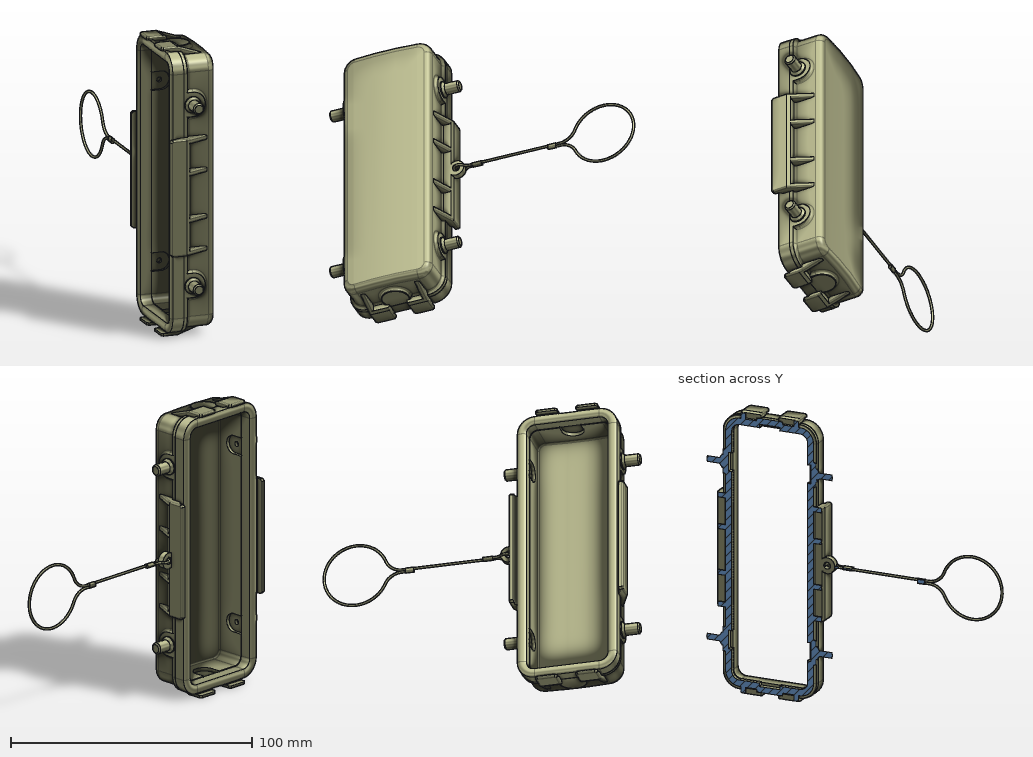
import math

import cadquery as cq


OVERALL_LENGTH = 135.67
OVERALL_DEPTH = 22.29

TOLERANCE = 0.01

FRAME_STEP = 0.1
FRAME_HALF_X = 21.45
FRAME_HALF_Z = 60.2
FRAME_BACK_Y = 5.6
FLANGE_HALF_X = FRAME_HALF_X - FRAME_STEP
FLANGE_HALF_Z = FRAME_HALF_Z - FRAME_STEP
FLANGE_STEP = 1.5
FLANGE_BACK_Y = 7.2
SHELL_HALF_X = FLANGE_HALF_X - FLANGE_STEP
SHELL_HALF_Z = FLANGE_HALF_Z - FLANGE_STEP
SHELL_CORNER = 6.0
FLANGE_CORNER = SHELL_CORNER + FLANGE_STEP
FRAME_CORNER = FLANGE_CORNER + FRAME_STEP
ROOT_FILLET = 1.2
CROWN_Y = 21.0
CROWN_RADIUS = 145.0
CROWN_EDGE_FILLET = 3.0

RIM_WIDTH = 3.9
RIM_BULGE = 0.7
FLOOR_THICKNESS = 2.0
FLOOR_FILLET = 0.7
OPENING_HALF_X = FRAME_HALF_X - RIM_WIDTH
OPENING_HALF_Z = FRAME_HALF_Z - RIM_WIDTH
OPENING_CORNER = FRAME_CORNER - RIM_WIDTH
OPENING_STEP = 0.3
CAVITY_HALF_X = OPENING_HALF_X - OPENING_STEP
CAVITY_HALF_Z = OPENING_HALF_Z - OPENING_STEP
CAVITY_CORNER = OPENING_CORNER - OPENING_STEP

BOSS_Y = 9.8
PIN_BOSS_RADIUS = 5.3
END_BOSS_RADIUS = 5.9
END_DISC_RADIUS = 5.7
END_DISC_RISE = 0.1
RECESS_DEPTH = 1.5
RECESS_INSET = 1.3
PIN_Y = 9.5
PIN_Z = 39.0
PIN_DIAMETER = 4.8
PIN_TIP_X = 29.05
PIN_TIP_CHAMFER = 0.6
COLLAR_DIAMETER = 7.0
COLLAR_LENGTH = 1.5
PIN_CENTER_DIAMETER = 2.1
PIN_CENTER_DEPTH = 1.5

LATCH_TIP_Y = CROWN_Y - OVERALL_DEPTH
LATCH_KNEE_Y = 5.8
LATCH_BACK_Y = 7.3
LATCH_ROOT_Y = 3.0
LATCH_THROAT_Y = 1.3
RIB_START_Y = 16.3
RIB_WIDTH = 2.3
RIB_ROOT_DEPTH = 1.0
LATCH_EDGE_FILLET = 0.6
SIDE_LATCH_OUTER = 24.55
SIDE_LATCH_THICKNESS = 1.9
SIDE_LATCH_HALF_LENGTH = 25.1
SIDE_RIB_INNER_Z = 8.9
END_LATCH_OUTER = 62.2
END_LATCH_THICKNESS = 1.25
END_LATCH_INNER_X = 4.0
END_LATCH_OUTER_X = 13.3
LATCH_TIP_CHAMFER = 0.9

ROPE_DIAMETER = 1.0
ROPE_RADIUS = ROPE_DIAMETER / 2
ROPE_Y = 7.0
EYELET_X = -26.2
EYELET_DIAMETER = 7.0
EYELET_HOLE = 3.0
EYELET_FRONT_Y = 4.6
EYELET_BACK_Y = 7.3
TETHER_END_X = PIN_TIP_X - OVERALL_LENGTH
LOOP_RADIUS = 13.7
LOOP_NECK_RADIUS = 7.6
LOOP_X = TETHER_END_X + LOOP_RADIUS + ROPE_RADIUS
LOOP_FERRULE_X = (-71.1, -67.6)
EYE_RADIUS = 2.6
EYE_NECK_RADIUS = 4.0
EYE_X = -27.65
EYE_Y = ROPE_Y - ROPE_RADIUS
EYE_FERRULE_X = (-37.6, -33.4)
FERRULE_WIDTH = 2.3
FERRULE_THICKNESS = 1.5


def prism(half_x, half_z, corner, y_front, y_back):
    """Round-cornered rectangular block between two Y planes."""
    block = cq.Workplane("XZ", origin=(0, y_front, 0)).rect(2 * half_x, 2 * half_z)
    return block.extrude(y_front - y_back).edges("|Y").fillet(corner)


def crown(height):
    """Cylinder along Z whose top is concentric with the crowned back."""
    center_y = CROWN_Y - CROWN_RADIUS
    length = 2 * FLANGE_HALF_Z
    radius = height - center_y
    return cq.Workplane("XY", origin=(0, center_y, -FLANGE_HALF_Z)).circle(radius).extrude(length)


def crowned_block(half_x, half_z, corner, y_front, height, edge_fillet):
    """Round-cornered block with a crowned back and a rounded back edge."""
    block = prism(half_x, half_z, corner, y_front, CROWN_Y).intersect(crown(height))
    return block.faces(">Y").edges().fillet(edge_fillet)


def u_pad(plane, radius, y_front, depth):
    """U shape: a half disc at BOSS_Y running straight down to y_front, first plane axis along Y."""
    straight = BOSS_Y - y_front
    pad = (
        cq.Workplane(plane)
        .moveTo(-straight, -radius)
        .lineTo(0, -radius)
        .threePointArc((radius, 0), (0, radius))
        .lineTo(-straight, radius)
        .close()
    )
    return pad.extrude(depth)


def side_pad(z, radius, y_front, x_start, depth):
    """U pad extruded towards +X."""
    plane = cq.Plane(origin=(x_start, BOSS_Y, z), xDir=(0, 1, 0), normal=(1, 0, 0))
    return u_pad(plane, radius, y_front, depth)


def end_pad(radius, y_front, z_start, depth):
    """U pad extruded towards +Z."""
    plane = cq.Plane(origin=(0, BOSS_Y, z_start), xDir=(0, 1, 0), normal=(0, 0, 1))
    return u_pad(plane, radius, y_front, depth)


def both_x(shape):
    """Shape together with its mirror image across X = 0."""
    return shape.union(shape.mirror("YZ"))


def both_z(shape):
    """Shape together with its mirror image across Z = 0."""
    return shape.union(shape.mirror("XY"))


def make_outer_body():
    """Shell, flange and bosses with the blend around their common root."""
    shell = crowned_block(
        SHELL_HALF_X, SHELL_HALF_Z, SHELL_CORNER, RIM_BULGE, CROWN_Y, CROWN_EDGE_FILLET
    )
    flange = prism(FLANGE_HALF_X, FLANGE_HALF_Z, FLANGE_CORNER, RIM_BULGE, FLANGE_BACK_Y)
    side_depth = FLANGE_HALF_X - CAVITY_HALF_X
    side = side_pad(PIN_Z, PIN_BOSS_RADIUS, RIM_BULGE, CAVITY_HALF_X, side_depth)
    end_depth = FLANGE_HALF_Z - CAVITY_HALF_Z
    end = end_pad(END_BOSS_RADIUS, RIM_BULGE, CAVITY_HALF_Z, end_depth)
    body = shell.union(flange).union(both_x(both_z(side))).union(both_z(end))

    def is_root(edge):
        """Edge lying on the shell wall behind the flange."""
        box = edge.BoundingBox()
        on_wall = (
            max(box.xmax, -box.xmin) < SHELL_HALF_X + TOLERANCE
            and max(box.zmax, -box.zmin) < SHELL_HALF_Z + TOLERANCE
        )
        below_crown = box.ymax < BOSS_Y + PIN_BOSS_RADIUS + ROOT_FILLET
        return on_wall and below_crown and box.ymin > FLANGE_BACK_Y - TOLERANCE

    roots = [edge for edge in body.edges().vals() if is_root(edge)]
    return body.newObject(roots).fillet(ROOT_FILLET).union(both_z(make_end_disc()))


def make_end_disc():
    """Round face of the +Z end boss, cut off level with the back of the sealing frame."""
    height = FRAME_HALF_Z + END_DISC_RISE - CAVITY_HALF_Z
    disc = cq.Workplane("XY", origin=(0, BOSS_Y, CAVITY_HALF_Z)).circle(END_DISC_RADIUS).extrude(height)
    frame_space = cq.Workplane("XY").rect(2 * FRAME_HALF_X, 2 * FRAME_BACK_Y).extrude(2 * FRAME_HALF_Z)
    return disc.cut(frame_space)


def make_frame():
    """Sealing frame with a rounded rim: a shallow circular segment swept around the opening."""
    frame = prism(FRAME_HALF_X, FRAME_HALF_Z, FRAME_CORNER, RIM_BULGE, FRAME_BACK_Y)
    mid_x = FRAME_HALF_X - RIM_WIDTH / 2
    mid_z = FRAME_HALF_Z - RIM_WIDTH / 2
    mid_frame = prism(mid_x, mid_z, FRAME_CORNER - RIM_WIDTH / 2, RIM_BULGE, FRAME_BACK_Y)
    path = cq.Workplane(mid_frame.faces("<Y").wires().val())
    profile = (
        cq.Workplane("XY")
        .moveTo(OPENING_HALF_X, RIM_BULGE)
        .threePointArc((mid_x, 0), (FRAME_HALF_X, RIM_BULGE))
        .close()
    )
    return frame.union(profile.sweep(path))


def make_cavity():
    """Opening of the frame, the space inside the shell and the recesses behind the bosses."""
    opening = prism(OPENING_HALF_X, OPENING_HALF_Z, OPENING_CORNER, -RIM_BULGE, FRAME_BACK_Y)
    cavity = crowned_block(
        CAVITY_HALF_X, CAVITY_HALF_Z, CAVITY_CORNER,
        -RIM_BULGE, CROWN_Y - FLOOR_THICKNESS, FLOOR_FILLET,
    )
    side_reach = CAVITY_HALF_X + RECESS_DEPTH
    side = side_pad(PIN_Z, PIN_BOSS_RADIUS - RECESS_INSET, FRAME_BACK_Y, 0, side_reach)
    pin_center = cq.Workplane("YZ", origin=(0, PIN_Y, PIN_Z)).circle(PIN_CENTER_DIAMETER / 2)
    side = side.union(pin_center.extrude(side_reach + PIN_CENTER_DEPTH))
    end = end_pad(END_BOSS_RADIUS - RECESS_INSET, FRAME_BACK_Y, 0, CAVITY_HALF_Z + RECESS_DEPTH)
    return opening.union(cavity).union(both_x(both_z(side))).union(both_z(end))


def make_pin():
    """Pin on the +X side with a conical collar at its foot."""
    pin_radius = PIN_DIAMETER / 2
    collar_radius = COLLAR_DIAMETER / 2
    collar_end = FLANGE_HALF_X + COLLAR_LENGTH
    half_section = (
        cq.Workplane("XY", origin=(0, PIN_Y, PIN_Z))
        .moveTo(SHELL_HALF_X, 0)
        .lineTo(SHELL_HALF_X, collar_radius)
        .lineTo(FLANGE_HALF_X + COLLAR_LENGTH / 3, collar_radius)
        .lineTo(collar_end, pin_radius)
        .lineTo(PIN_TIP_X - PIN_TIP_CHAMFER, pin_radius)
        .lineTo(PIN_TIP_X, pin_radius - PIN_TIP_CHAMFER)
        .lineTo(PIN_TIP_X, 0)
        .close()
    )
    return half_section.revolve(360, (0, 0, 0), (1, 0, 0))


def latch_plate(plane, flange, outer, thickness, width):
    """Plate section in (distance from the centre, Y), extruded by width, with rounded outer edges."""
    inner = outer - thickness
    wall = flange - FLANGE_STEP
    rib_slope = (outer - wall) / (RIB_START_Y - LATCH_KNEE_Y)
    back = outer - rib_slope * (LATCH_BACK_Y - LATCH_KNEE_Y)
    outline = [
        (outer, LATCH_TIP_Y), (outer, LATCH_KNEE_Y), (back, LATCH_BACK_Y), (wall, LATCH_BACK_Y),
        (wall, LATCH_ROOT_Y), (flange, LATCH_ROOT_Y), (inner, LATCH_THROAT_Y), (inner, LATCH_TIP_Y),
    ]
    plate = cq.Workplane(plane).polyline(outline).close().extrude(width)
    tip_corners = cq.selectors.ParallelDirSelector(plane.xDir)
    plate = plate.faces("<Y").edges(tip_corners).chamfer(LATCH_TIP_CHAMFER)

    outer_border = plate.faces(cq.selectors.DirectionMinMaxSelector(plane.xDir)).edges()
    knee = outer_border.edges(">Y").val()
    bevel_sides = plate.edges(cq.selectors.ParallelDirSelector(slope_direction(plane, wall, outer)))
    rounded = [edge for edge in outer_border.vals() if not edge.isSame(knee)] + bevel_sides.vals()
    return plate.newObject(rounded).fillet(LATCH_EDGE_FILLET)


def slope_direction(plane, wall, outer):
    """Direction of the rib crest, from the shell wall up to the knee."""
    return plane.xDir * (outer - wall) - plane.yDir * (RIB_START_Y - LATCH_KNEE_Y)


def latch_rib(plane, wall, outer):
    """Triangular rib with a rounded crest from the shell wall up to the knee of a latch plate."""
    buried = wall - RIB_ROOT_DEPTH
    outline = [
        (buried, RIB_START_Y), (wall, RIB_START_Y), (outer, LATCH_KNEE_Y), (buried, LATCH_KNEE_Y),
    ]
    rib = cq.Workplane(plane).polyline(outline).close().extrude(RIB_WIDTH)
    crest = cq.selectors.ParallelDirSelector(slope_direction(plane, wall, outer))
    return rib.edges(crest).fillet(LATCH_EDGE_FILLET)


def make_side_latch():
    """Long latch plate on the +X side with four ribs."""

    def section_plane(z):
        return cq.Plane(origin=(0, 0, z), xDir=(1, 0, 0), normal=(0, 0, 1))

    latch = latch_plate(
        section_plane(-SIDE_LATCH_HALF_LENGTH),
        FLANGE_HALF_X, SIDE_LATCH_OUTER, SIDE_LATCH_THICKNESS, 2 * SIDE_LATCH_HALF_LENGTH,
    )
    for rib_z in (SIDE_RIB_INNER_Z, SIDE_LATCH_HALF_LENGTH - RIB_WIDTH):
        rib = latch_rib(section_plane(rib_z), SHELL_HALF_X, SIDE_LATCH_OUTER)
        latch = latch.union(both_z(rib))
    return latch


def make_end_latch():
    """Short latch plate on the +X half of the +Z end, with one rib along its outer edge."""
    section_plane = cq.Plane(origin=(END_LATCH_OUTER_X, 0, 0), xDir=(0, 0, 1), normal=(-1, 0, 0))
    width = END_LATCH_OUTER_X - END_LATCH_INNER_X
    latch = latch_plate(section_plane, FLANGE_HALF_Z, END_LATCH_OUTER, END_LATCH_THICKNESS, width)
    return latch.union(latch_rib(section_plane, SHELL_HALF_Z, END_LATCH_OUTER))


def make_eyelet():
    """Round lug on the -X latch plate that holds the tether."""
    plane = cq.Workplane("XZ", origin=(EYELET_X, EYELET_FRONT_Y, 0))
    lug = plane.circle(EYELET_DIAMETER / 2).circle(EYELET_HOLE / 2)
    return lug.extrude(EYELET_FRONT_Y - EYELET_BACK_Y)


def rope_loop(plane, radius, neck_radius, near_end, far_end, upper_height):
    """Rope teardrop centred on the plane origin with its neck along the plane's first axis.

    The upper strand runs out to far_end at upper_height above the axis, the lower strand
    to near_end one rope diameter below it.
    """
    lower_height = upper_height - ROPE_DIAMETER
    reach = radius + neck_radius

    def neck(sign, height):
        """Tangent points of one strand: on the ring, midway on the neck, on the straight."""
        clearance = sign * height
        angle = math.asin((neck_radius + clearance) / reach)
        center_u = reach * math.cos(angle)
        center_v = reach * math.sin(angle)
        middle = (math.pi + angle + 1.5 * math.pi) / 2
        on_ring = (radius * math.cos(angle), sign * radius * math.sin(angle))
        on_neck = (
            center_u + neck_radius * math.cos(middle),
            sign * (center_v + neck_radius * math.sin(middle)),
        )
        return on_ring, on_neck, (center_u, height)

    upper_ring, upper_neck, upper_straight = neck(1, upper_height)
    lower_ring, lower_neck, lower_straight = neck(-1, lower_height)
    path = (
        cq.Workplane(plane)
        .moveTo(far_end, upper_height)
        .lineTo(*upper_straight)
        .threePointArc(upper_neck, upper_ring)
        .threePointArc((-radius, 0), lower_ring)
        .threePointArc(lower_neck, lower_straight)
        .lineTo(near_end, lower_height)
    )
    start_point = plane.toWorldCoords((far_end, upper_height))
    start = cq.Plane(origin=start_point, xDir=plane.zDir, normal=-plane.xDir)
    return cq.Workplane(start).circle(ROPE_RADIUS).sweep(path)


def ferrule(x_range, center_y, center_z, size_y, size_z):
    """Crimp sleeve with a rounded cross-section around two rope strands."""
    x_start, x_end = x_range
    sleeve = cq.Workplane("YZ", origin=(x_start, center_y, center_z)).rect(size_y, size_z)
    corner = min(size_y, size_z) / 2 - TOLERANCE
    return sleeve.extrude(x_end - x_start).edges("|X").fillet(corner)


def make_tether():
    """Rope with a large loop in the XZ plane and a small eye in the XY plane, each crimped."""
    loop_plane = cq.Plane(origin=(LOOP_X, ROPE_Y, 0), xDir=(1, 0, 0), normal=(0, -1, 0))
    loop_end = LOOP_FERRULE_X[1] - ROPE_RADIUS - LOOP_X
    rope_end = EYE_FERRULE_X[1] - ROPE_RADIUS - LOOP_X
    loop = rope_loop(loop_plane, LOOP_RADIUS, LOOP_NECK_RADIUS, loop_end, rope_end, 0)
    eye_plane = cq.Plane(origin=(EYE_X, EYE_Y, 0), xDir=(-1, 0, 0), normal=(0, 0, -1))
    eye_end = EYE_X - EYE_FERRULE_X[0] - ROPE_RADIUS
    eye = rope_loop(eye_plane, EYE_RADIUS, EYE_NECK_RADIUS, eye_end, eye_end, ROPE_RADIUS)
    loop_sleeve = ferrule(LOOP_FERRULE_X, ROPE_Y, -ROPE_RADIUS, FERRULE_THICKNESS, FERRULE_WIDTH)
    eye_sleeve = ferrule(EYE_FERRULE_X, EYE_Y, 0, FERRULE_WIDTH, FERRULE_THICKNESS)
    return loop.union(loop_sleeve).union(eye_sleeve).union(eye)


cover = make_outer_body().union(make_frame())
cover = cover.union(both_x(make_side_latch()))
cover = cover.union(both_x(both_z(make_end_latch())))
cover = cover.union(both_x(both_z(make_pin())))
cover = cover.cut(make_cavity())
result = cover.union(make_eyelet()).union(make_tether())